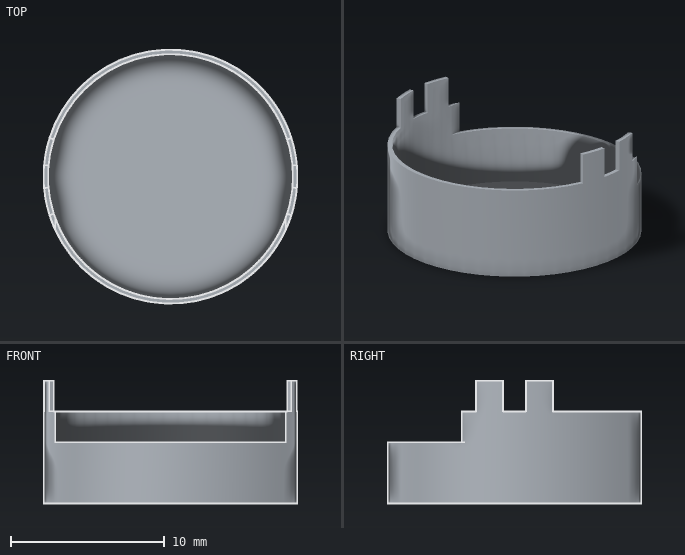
import cadquery as cq
import math

outer_diameter = 16.5
inner_diameter = 15.9
floor_thickness = 0.3
wall_height = 6.0
total_height = 8.0

opening_width = 15.0
opening_bottom = 4.0

tab_start_angle = 5.2
tab_end_angle = 17.7
tab_height = total_height - wall_height


def cut_opening(body):
    """Lower the rim on the -Y side, with flat ends parallel to the YZ plane."""
    cutter = (
        cq.Workplane("XY")
        .workplane(offset=opening_bottom)
        .center(0, -outer_diameter / 4)
        .rect(opening_width, outer_diameter / 2)
        .extrude(wall_height - opening_bottom)
    )
    return body.cut(cutter)


def make_cup():
    """Round cup with a flat floor, the full tab height tall."""
    cavity = (
        cq.Workplane("XY")
        .workplane(offset=floor_thickness)
        .circle(inner_diameter / 2)
        .extrude(total_height - floor_thickness)
    )
    return cq.Workplane("XY").circle(outer_diameter / 2).extrude(total_height).cut(cavity)


def radial_point(angle):
    """Point well outside the cup, at an angle in degrees from the X axis."""
    return (
        outer_diameter * math.cos(math.radians(angle)),
        outer_diameter * math.sin(math.radians(angle)),
    )


def trim_to_tabs(body):
    """Remove the wall above the rim, leaving a pair of tabs on each of the -X and +X sides."""
    rim_plane = cq.Workplane("XY").workplane(offset=wall_height)
    waste = rim_plane.circle(outer_diameter).extrude(tab_height)
    for side_angle in (0, 180):
        for direction in (-1, 1):
            start_point = radial_point(side_angle + direction * tab_start_angle)
            end_point = radial_point(side_angle + direction * tab_end_angle)
            tab_sector = rim_plane.polyline([(0, 0), start_point, end_point]).close().extrude(tab_height)
            waste = waste.cut(tab_sector)
    return body.cut(waste)


result = cut_opening(trim_to_tabs(make_cup()))